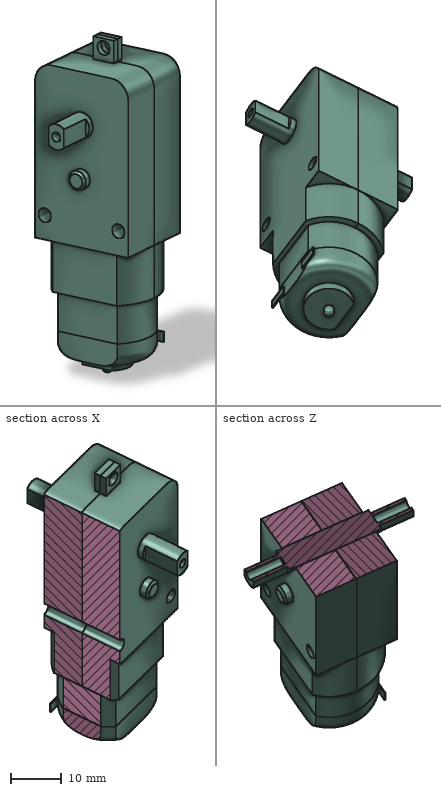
import cadquery as cq


HOUSING_TOP = 11.15
LUG_TOP = 15.95
HOUSING_BOTTOM = -25.85
COLLAR_BOTTOM = -36.9
CAN_BOTTOM = -45.4
CAP_BOTTOM = -50.7
BOSS_BOTTOM = -52.7
MOTOR_SHAFT_BOTTOM = LUG_TOP - 70.6

HOUSING_WIDTH = 22.4
HOUSING_HALF_DEPTH = 9.25
CORNER_RADIUS = 4.0
COLLAR_FRONT = -8.1
LUG_WIDTH = 4.95
LUG_THICKNESS = 2.8
SCREW_HOLE_DIAMETER = 3.0
LUG_HOLE_Z = 14.0
SCREW_HOLE_X = 8.8
SCREW_HOLE_Z = -20.7

PEG_DIAMETER = 4.0
PEG_Z = -11.3
PEG_LENGTH = 2.0
PEG_CHAMFER = 0.5

SHAFT_LENGTH = 36.6
SHAFT_DIAMETER = 5.4
FLAT_LENGTH = 7.8
FLAT_WIDTH = 3.7
SHAFT_HOLE_DIAMETER = 2.0
SHAFT_HOLE_DEPTH = FLAT_LENGTH

MOTOR_RADIUS = 9.95
MOTOR_FRONT = -7.0
MOTOR_BACK = 8.25
CAP_FILLET = 2.8
BOSS_RADIUS = 5.1
BOSS_FRONT = -3.6
MOTOR_SHAFT_DIAMETER = 2.0

TERMINAL_OUTER_X = 7.85
TERMINAL_INNER_X = 3.5
TERMINAL_THICKNESS = 0.3
TERMINAL_TOP = -47.0
TERMINAL_HEIGHT = 2.1


def box_between(x_range, y_range, z_range):
    """Box spanning the given (low, high) pairs."""
    lows, highs = zip(x_range, y_range, z_range)
    size = [high - low for low, high in zip(lows, highs)]
    return cq.Workplane("XY").box(*size, centered=False).translate(lows)


def cylinder_z(radius, bottom, top):
    return cq.Workplane("XY").workplane(offset=bottom).circle(radius).extrude(top - bottom)


def cylinder_y(diameter, x, z, front, back):
    workplane = cq.Workplane("XZ", origin=(0, front, 0))
    return workplane.center(x, z).circle(diameter / 2).extrude(front - back)


def trim_flats(body, front, back):
    """Keep the part of a body between a front and a back plane."""
    bounds = body.val().BoundingBox()
    return body.intersect(
        box_between((bounds.xmin, bounds.xmax), (front, back), (bounds.zmin, bounds.zmax))
    )


def make_gearbox():
    """Both housing halves in one piece, with every hole cut."""
    half_width = HOUSING_WIDTH / 2
    depth_range = (-HOUSING_HALF_DEPTH, HOUSING_HALF_DEPTH)
    case = box_between((-half_width, half_width), depth_range, (HOUSING_BOTTOM, HOUSING_TOP))
    case = case.edges("|Y and >Z").fillet(CORNER_RADIUS)

    collar = cylinder_z(half_width, COLLAR_BOTTOM, HOUSING_BOTTOM)
    collar = trim_flats(collar, COLLAR_FRONT, HOUSING_HALF_DEPTH)

    lug = box_between(
        (-LUG_WIDTH / 2, LUG_WIDTH / 2),
        (-LUG_THICKNESS / 2, LUG_THICKNESS / 2),
        (HOUSING_TOP, LUG_TOP),
    )
    gearbox = case.union(collar).union(lug)

    hole_places = [(0, LUG_HOLE_Z), (-SCREW_HOLE_X, SCREW_HOLE_Z), (SCREW_HOLE_X, SCREW_HOLE_Z)]
    for x, z in hole_places:
        gearbox = gearbox.cut(cylinder_y(SCREW_HOLE_DIAMETER, x, z, *depth_range))
    return gearbox.cut(cylinder_y(SHAFT_DIAMETER, 0, 0, *depth_range))


def make_front_housing():
    half = trim_flats(make_gearbox(), -HOUSING_HALF_DEPTH, 0)
    peg_tip = -HOUSING_HALF_DEPTH - PEG_LENGTH
    peg = cylinder_y(PEG_DIAMETER, 0, PEG_Z, peg_tip, -HOUSING_HALF_DEPTH)
    return half.union(peg.faces("<Y").chamfer(PEG_CHAMFER))


def make_back_housing():
    return trim_flats(make_gearbox(), 0, HOUSING_HALF_DEPTH)


def make_output_shaft():
    """Round shaft with two flats and a blind centre hole at each end."""
    tip = SHAFT_LENGTH / 2
    radius = SHAFT_DIAMETER / 2
    shaft = cylinder_y(SHAFT_DIAMETER, 0, 0, -tip, tip)
    end_ranges = [(-tip, FLAT_LENGTH - tip), (tip - FLAT_LENGTH, tip)]
    hole_ranges = [(-tip, SHAFT_HOLE_DEPTH - tip), (tip - SHAFT_HOLE_DEPTH, tip)]
    for end_range in end_ranges:
        for x_range in [(-radius, -FLAT_WIDTH / 2), (FLAT_WIDTH / 2, radius)]:
            shaft = shaft.cut(box_between(x_range, end_range, (-radius, radius)))
    for hole_range in hole_ranges:
        shaft = shaft.cut(cylinder_y(SHAFT_HOLE_DIAMETER, 0, 0, *hole_range))
    return shaft


def make_motor_can():
    can = cylinder_z(MOTOR_RADIUS, CAN_BOTTOM, COLLAR_BOTTOM)
    return trim_flats(can, MOTOR_FRONT, MOTOR_BACK)


def make_motor_shaft():
    """Round-ended shaft that starts at the inner face of the end cap."""
    shaft = cylinder_z(MOTOR_SHAFT_DIAMETER / 2, MOTOR_SHAFT_BOTTOM, CAN_BOTTOM)
    tip_fillet = 0.98 * MOTOR_SHAFT_DIAMETER / 2
    return shaft.faces("<Z").edges().fillet(tip_fillet)


def make_terminal(side):
    """Thin plate lying on the back flat of the end cap; side is -1 or 1 along X."""
    x_range = sorted((side * TERMINAL_INNER_X, side * TERMINAL_OUTER_X))
    y_range = (MOTOR_BACK, MOTOR_BACK + TERMINAL_THICKNESS)
    return box_between(x_range, y_range, (TERMINAL_TOP - TERMINAL_HEIGHT, TERMINAL_TOP))


def make_end_cap():
    """Cap with a rounded rim and a bearing boss, bored for the motor shaft."""
    cap = cylinder_z(MOTOR_RADIUS, CAP_BOTTOM, CAN_BOTTOM).faces("<Z").edges().fillet(CAP_FILLET)
    cap = trim_flats(cap, MOTOR_FRONT, MOTOR_BACK)
    boss = cylinder_z(BOSS_RADIUS, BOSS_BOTTOM, CAP_BOTTOM)
    cap = cap.union(trim_flats(boss, BOSS_FRONT, BOSS_RADIUS))
    return cap.cut(cylinder_z(MOTOR_SHAFT_DIAMETER / 2, BOSS_BOTTOM, CAN_BOTTOM))


front_housing = make_front_housing()
back_housing = make_back_housing()
output_shaft = make_output_shaft()
motor_can = make_motor_can()
motor_shaft = make_motor_shaft()
terminals = [make_terminal(side) for side in (-1, 1)]
end_cap = make_end_cap()

result = cq.Compound.makeCompound(
    [
        front_housing.val(),
        back_housing.val(),
        output_shaft.val(),
        motor_can.val(),
        end_cap.val(),
        motor_shaft.val(),
        *[terminal.val() for terminal in terminals],
    ]
)